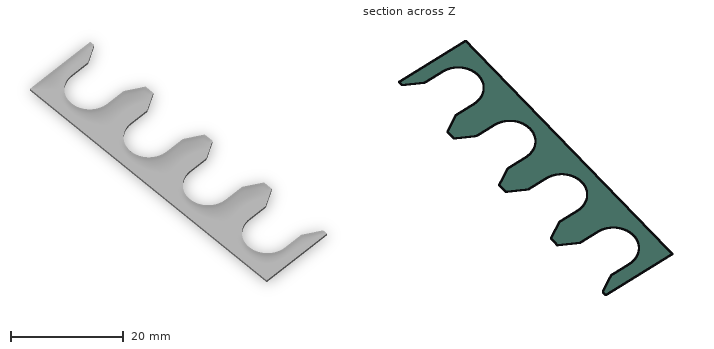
import cadquery as cq
import math

length = 60.0
width = 15.0
thickness = 0.5

slot_count = 4
slot_pitch = length / slot_count
slot_width = 9.0
slot_floor = 3.0

mouth_width = 13.0
flare_angle = 30.0

slot_radius = slot_width / 2
arc_center_y = slot_floor + slot_radius
flare_run = (mouth_width - slot_width) / 2
flare_start_y = width - flare_run / math.tan(math.radians(flare_angle))


def slot_cutter(center_x):
    """Slot with a semicircular bottom and a mouth that widens to the edge."""
    left = center_x - slot_radius
    right = center_x + slot_radius
    return (
        cq.Workplane("XY")
        .moveTo(center_x - mouth_width / 2, width)
        .lineTo(left, flare_start_y)
        .lineTo(left, arc_center_y)
        .threePointArc((center_x, slot_floor), (right, arc_center_y))
        .lineTo(right, flare_start_y)
        .lineTo(center_x + mouth_width / 2, width)
        .close()
        .extrude(thickness)
    )


result = cq.Workplane("XY").box(length, width, thickness, centered=False)
for index in range(slot_count):
    result = result.cut(slot_cutter((index + 0.5) * slot_pitch))